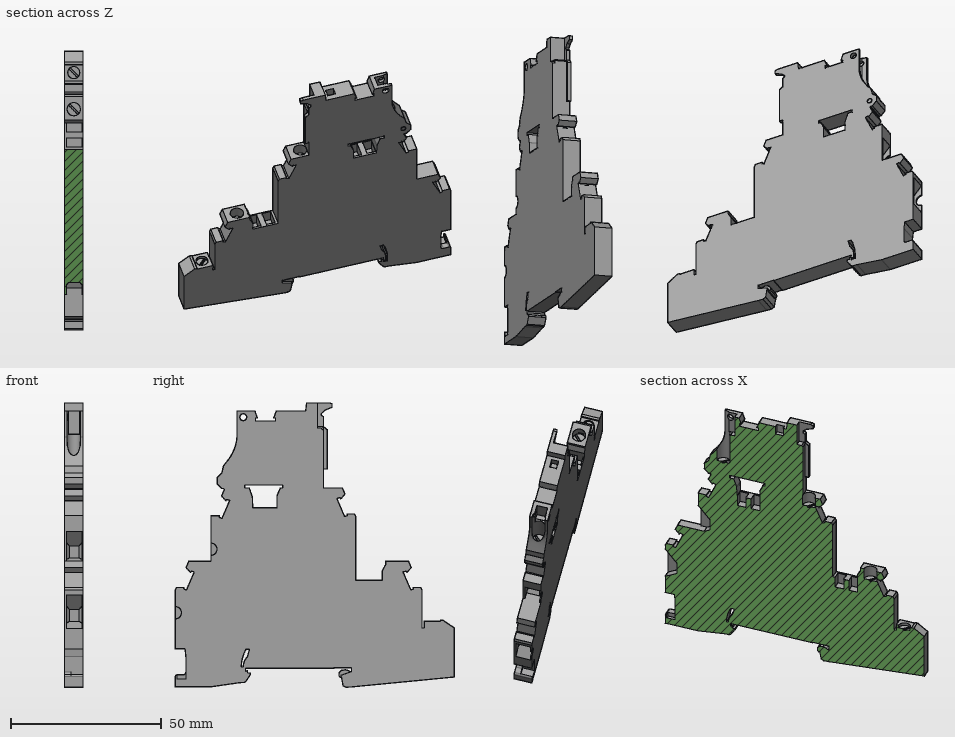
import cadquery as cq


THICKNESS = 6.15
LENGTH = 92.69
HEIGHT = 94.53
MID_X = THICKNESS / 2

FRONT_FOOT_Z = 0.15
RAIL_FACE_Z = 6.3
LIP_TOP_Z = 4.2
LOWER_TOP_Z = 41.9
UPPER_TOP_Z = 66.3
UPPER_FRONT_TOP_Z = UPPER_TOP_Z - 0.6
LOWER_VALLEY_Z = 35.65
UPPER_VALLEY_Z = 59.75
PLUG_SHELF_Z = 22.0

UPPER_FRONT_Y = 11.8
UPPER_REAR_Y = 60.0
LOWER_REAR_Y = 82.0
PLUG_GAP_Y = 82.7
FOOT_RECESS_Y = 3.5
UPPER_VALLEY_FRONT_Y = 25.8
UPPER_VALLEY_REAR_Y = 33.8
LOWER_TOWER_FRONT_Y = 68.75

SHOULDER_REACH = 3.57
SHOULDER_CORNER = 0.45
NOSE_SLOPE = 0.9
NOSE_DROP = 2.1
HOOK_DROP = 3.75
GROOVE_DEPTH = 2.7
GROOVE_BOTTOM = 9.5
SHELF_DROP = 8.65

OPENING_X0 = 0.7
OPENING_X1 = 5.75

SCREW_DEPTH = 4.0
SLOT_WIDTH = 0.6
SLOT_DEPTH = 0.5
TIER_SCREW_RADIUS = 2.2
PLUG_SCREW_RADIUS = 2.0
PLUG_SCREW_DEPTH = 1.0
PLUG_SCREW_Y = 85.55
LOWER_SCREW_Y = 73.4
UPPER_SCREW_Y = 51.4

FUNNEL_DEPTH = 4.2
WAIST_FRACTION = 0.78
THROAT_X0 = 1.6
THROAT_X1 = 4.85
THROAT_BOTTOM_Z = 21.9
THROAT_TOP_Z = 25.9
FUNNEL_BOTTOM_Z = 19.6
FUNNEL_TOP_Z = 30.65
WAIST_DEPTH = WAIST_FRACTION * FUNNEL_DEPTH
WAIST_BOTTOM_Z = FUNNEL_BOTTOM_Z + WAIST_FRACTION * (THROAT_BOTTOM_Z - FUNNEL_BOTTOM_Z)
WAIST_TOP_Z = FUNNEL_TOP_Z + WAIST_FRACTION * (THROAT_TOP_Z - FUNNEL_TOP_Z)
OPENING_SECTION = (0, OPENING_X0, OPENING_X1, FUNNEL_BOTTOM_Z, FUNNEL_TOP_Z)
WAIST_SECTION = (WAIST_DEPTH, OPENING_X0, OPENING_X1, WAIST_BOTTOM_Z, WAIST_TOP_Z)
THROAT_SECTION = (FUNNEL_DEPTH, THROAT_X0, THROAT_X1, THROAT_BOTTOM_Z, THROAT_TOP_Z)
ENTRY_PITCH_Z = 21.1
SIDE_NOTCH_RADIUS = 2.05
SIDE_NOTCH_Z = 24.8

LEVER_TOP_Z = 91.85
LEVER_FRONT_Y = 20.45
LEVER_REAR_Y = 49.3
LEVER_PLATE_REAR_Y = 50.5
PLATE_THICKNESS = 1.2
TAB_ROOT_Y = 47.2
TAB_FRONT_Y = 43.6
TAB_TIP_Y = 52.15
LEDGE_Z = 86.6
HINGE_Y = 16.5
HINGE_Z = 68.65
KNUCKLE_SIDES = 8
KNUCKLE_APOTHEM = 2.6
PIN_RADIUS = 0.85
PIN_RECESS = 0.2


def prism(points, x0=0.0, x1=THICKNESS):
    """Extrude a closed (Y, Z) outline between two X positions."""
    return cq.Workplane("YZ", origin=(x0, 0, 0)).polyline(points).close().extrude(x1 - x0)


def block(x0, x1, y0, y1, z0, z1):
    """Axis-aligned box given by its limits."""
    return cq.Workplane("XY").box(x1 - x0, y1 - y0, z1 - z0, centered=False).translate((x0, y0, z0))


def cross_bar(y, z, radius, x0=0.0, x1=THICKNESS):
    """Cylinder along X."""
    return cq.Workplane("YZ", origin=(x0, y, z)).circle(radius).extrude(x1 - x0)


def shoulder(wall_y, top_z, outward, corner=SHOULDER_CORNER):
    """Outline points of a marker shoulder, from the tier top out to the wall below it."""
    nose_y = wall_y - outward * SHOULDER_REACH
    profile = [
        (-NOSE_SLOPE, 0),
        (0, NOSE_DROP),
        (-1.45, HOOK_DROP),
        (-1.75, HOOK_DROP - 0.45),
        (-GROOVE_DEPTH, HOOK_DROP - 0.15),
        (-0.15, GROOVE_BOTTOM),
        (0.7, GROOVE_BOTTOM - 0.3),
        (0.6, SHELF_DROP),
    ]
    if corner:
        profile.append((SHOULDER_REACH - corner, SHELF_DROP))
        profile.append((SHOULDER_REACH, SHELF_DROP + 2 * corner))
    else:
        profile.append((SHOULDER_REACH, SHELF_DROP))
    return [(nose_y + outward * reach, top_z - drop) for reach, drop in profile]


def base_housing():
    """Stepped two-tier housing with its rail feet, over the full thickness."""
    rear_side = [
        (UPPER_VALLEY_REAR_Y, UPPER_VALLEY_Z),
        (UPPER_VALLEY_REAR_Y, UPPER_TOP_Z - 2.6),
        (UPPER_VALLEY_REAR_Y + 1.1, UPPER_TOP_Z),
        *shoulder(UPPER_REAR_Y, UPPER_TOP_Z, 1),
        (UPPER_REAR_Y, LOWER_VALLEY_Z),
        (LOWER_TOWER_FRONT_Y, LOWER_VALLEY_Z),
        (LOWER_TOWER_FRONT_Y, LOWER_TOP_Z - 3.2),
        (LOWER_TOWER_FRONT_Y + 1.1, LOWER_TOP_Z - 1.1),
        (LOWER_TOWER_FRONT_Y + 1.1, LOWER_TOP_Z),
        *shoulder(LOWER_REAR_Y, LOWER_TOP_Z, 1),
        (LOWER_REAR_Y, PLUG_SHELF_Z - 2.2),
        (PLUG_GAP_Y, PLUG_SHELF_Z - 2.2),
        (PLUG_GAP_Y, PLUG_SHELF_Z),
        (88.0, PLUG_SHELF_Z),
        (88.2, PLUG_SHELF_Z + 0.3),
        (89.0, PLUG_SHELF_Z + 0.3),
        (LENGTH, PLUG_SHELF_Z - 2.2),
    ]
    rear_foot = [
        (LENGTH, 3.4),
        (58.5, 0.1),
        (56.7, 0),
        (55.7, 0.5),
        (55.2, 3.4),
        (55.0, 4.0),
        (58.5, 5.2),
        (58.5, RAIL_FACE_Z + 0.2),
        (52.7, RAIL_FACE_Z + 0.2),
        (52.7, RAIL_FACE_Z),
    ]
    front_foot = [
        (23.4, RAIL_FACE_Z),
        (23.4, 5.4),
        (24.0, 5.6),
        (24.1, 4.8),
        (25.0, 4.8),
        (25.0, 4.2),
        (23.4, 1.85),
        (22.9, 1.6),
        (21.2, 1.5),
        (11.9, FRONT_FOOT_Z),
        (0, FRONT_FOOT_Z),
        (0, LIP_TOP_Z),
        (FOOT_RECESS_Y, LIP_TOP_Z),
        (FOOT_RECESS_Y, 10.2),
        (3.2, 12.8),
        (0, 12.8),
    ]
    front_side = [
        *reversed(shoulder(0, LOWER_TOP_Z, -1)),
        (UPPER_FRONT_Y, LOWER_TOP_Z),
        *reversed(shoulder(UPPER_FRONT_Y, UPPER_FRONT_TOP_Z, -1, corner=0)),
        (16.0, UPPER_TOP_Z),
        (UPPER_VALLEY_FRONT_Y - 1.2, UPPER_TOP_Z),
        (UPPER_VALLEY_FRONT_Y - 0.15, UPPER_TOP_Z - 3.0),
        (UPPER_VALLEY_FRONT_Y, UPPER_VALLEY_Z),
    ]
    housing = prism(rear_side + rear_foot + front_foot + front_side)
    for corner_y, radius in ((0, 0.65), (FOOT_RECESS_Y, 0.9)):
        corner = (MID_X, corner_y, LIP_TOP_Z)
        housing = housing.edges(cq.selectors.NearestToPointSelector(corner)).fillet(radius)
    return housing


def rail_clip():
    """Curved spring tongue of the rear foot, set in from both sides."""
    inset = 0.8
    return (
        cq.Workplane("YZ", origin=(inset, 0, 0))
        .moveTo(58.5, 5.0)
        .lineTo(57.7, 5.5)
        .lineTo(56.6, 5.9)
        .lineTo(55.3, 5.7)
        .threePointArc((54.55, 5.0), (54.4, 3.7))
        .lineTo(54.9, 3.3)
        .lineTo(55.5, 3.3)
        .lineTo(55.5, 4.0)
        .close()
        .extrude(THICKNESS - 2 * inset)
    )


def front_foot_slit():
    """Curved slit that makes the front foot springy, with a shallow angled recess below it."""
    slit = (
        cq.Workplane("YZ")
        .moveTo(24.6, 12.6)
        .lineTo(23.5, 12.6)
        .threePointArc((22.5, 10.2), (21.95, 6.8))
        .lineTo(22.55, 6.8)
        .threePointArc((23.1, 9.0), (23.95, 10.2))
        .close()
        .extrude(THICKNESS)
    )
    recess_depth = 0.5
    recess_front_y = 21.95
    recess_bottom_z = 4.4
    upright = block(0, recess_depth, recess_front_y, 22.55, recess_bottom_z, 6.8)
    foot = block(0, recess_depth, recess_front_y, 23.4, recess_bottom_z, 5.0)
    return slit.union(upright).union(foot)


def front_recess_step():
    """Deeper floor behind the lip of the front foot, beside its rounded corner."""
    rounded_width = 2.1
    lip_thickness = 0.65
    step_z = LIP_TOP_Z - 1.5
    rounded_top_z = LIP_TOP_Z + 1.0
    return block(rounded_width, THICKNESS, lip_thickness, FOOT_RECESS_Y, step_z, rounded_top_z)


def tapered_pocket(wall_y, lift, outer, inner):
    """Loft between two rectangular sections given as (depth, x0, x1, z0, z1)."""
    depth, x0, x1, z0, z1 = outer
    inner_depth, inner_x0, inner_x1, inner_z0, inner_z1 = inner
    shift_x = (inner_x0 + inner_x1 - x0 - x1) / 2
    shift_z = (inner_z0 + inner_z1 - z0 - z1) / 2
    return (
        cq.Workplane("XZ", origin=((x0 + x1) / 2, wall_y + depth, (z0 + z1) / 2 + lift))
        .rect(x1 - x0, z1 - z0)
        .workplane(offset=depth - inner_depth)
        .center(shift_x, shift_z)
        .rect(inner_x1 - inner_x0, inner_z1 - inner_z0)
        .loft(ruled=True)
    )


def wire_entry(wall_y, lift, floor_z):
    """Tapered wire funnel in a front wall, with a round notch through the +X side."""
    funnel = tapered_pocket(wall_y, lift, OPENING_SECTION, WAIST_SECTION).union(
        tapered_pocket(wall_y, lift, WAIST_SECTION, THROAT_SECTION)
    )
    above_floor = block(0, THICKNESS, wall_y, wall_y + FUNNEL_DEPTH, floor_z, HEIGHT)
    notch = cross_bar(wall_y, SIDE_NOTCH_Z + lift, SIDE_NOTCH_RADIUS, THROAT_X1)
    return funnel.intersect(above_floor).union(notch)


def screw_bore(y, top_z, radius, depth=SCREW_DEPTH):
    """Round bore down to a screw head, with the diagonal driver slot cut into the head."""
    head_z = top_z - depth
    bore = cq.Workplane("XY", origin=(MID_X, y, head_z)).circle(radius).extrude(depth)
    slot = (
        cq.Workplane("XY", origin=(MID_X, y, head_z - SLOT_DEPTH))
        .transformed(rotate=(0, 0, -45))
        .rect(2 * radius, SLOT_WIDTH)
        .extrude(SLOT_DEPTH)
    )
    return bore.union(slot)


def valley_pockets(rear_wall_y, floor_z):
    """Two rectangular test pockets in the floor of a valley."""
    pocket_length = 3.0
    pocket_pitch = 4.9
    pocket_depth = 4.0
    cutter = cq.Workplane("XY")
    for index in range(2):
        rear_y = rear_wall_y - index * pocket_pitch
        front_y = rear_y - pocket_length
        pocket = block(OPENING_X0, OPENING_X1, front_y, rear_y, floor_z - pocket_depth, floor_z)
        cutter = cutter.union(pocket)
    return cutter


def lever_body():
    """Fuse lever outline over the full thickness, including the octagonal hinge knuckle."""
    lip_z = LEVER_TOP_Z - 2.4
    notch_z = LEVER_TOP_Z - 3.3
    window_z = UPPER_TOP_Z + 0.9
    body = (
        cq.Workplane("YZ")
        .moveTo(LEVER_FRONT_Y, LEVER_TOP_Z)
        .lineTo(26.5, LEVER_TOP_Z)
        .lineTo(27.3, lip_z)
        .lineTo(26.7, lip_z)
        .lineTo(26.7, notch_z)
        .lineTo(33.3, notch_z)
        .lineTo(33.3, lip_z)
        .lineTo(32.65, lip_z)
        .lineTo(33.55, LEVER_TOP_Z)
        .lineTo(TAB_FRONT_Y - 0.3, LEVER_TOP_Z)
        .lineTo(TAB_FRONT_Y, HEIGHT)
        .lineTo(TAB_TIP_Y - 0.9, HEIGHT)
        .lineTo(TAB_TIP_Y, HEIGHT - 0.3)
        .lineTo(TAB_TIP_Y, 93.0)
        .lineTo(49.8, 92.1)
        .lineTo(48.5, 90.9)
        .lineTo(48.6, 90.4)
        .lineTo(LEVER_REAR_Y, 89.9)
        .lineTo(LEVER_REAR_Y, LEDGE_Z)
        .lineTo(LEVER_PLATE_REAR_Y, 85.6)
        .lineTo(LEVER_PLATE_REAR_Y, 72.5)
        .lineTo(LEVER_REAR_Y, 72.5)
        .lineTo(LEVER_REAR_Y, UPPER_TOP_Z)
        .lineTo(35.7, UPPER_TOP_Z)
        .lineTo(35.7, window_z)
        .lineTo(23.1, window_z)
        .lineTo(23.1, UPPER_TOP_Z)
        .lineTo(HINGE_Y, UPPER_TOP_Z)
        .lineTo(HINGE_Y, HINGE_Z)
        .lineTo(15.4, 71.0)
        .lineTo(16.0, 73.6)
        .spline([(18.1, 76.3), (19.6, 79.2), (LEVER_FRONT_Y, 83.1)], includeCurrent=True)
        .close()
        .extrude(THICKNESS)
    )
    knuckle = (
        cq.Workplane("YZ", origin=(0, HINGE_Y, HINGE_Z))
        .polygon(KNUCKLE_SIDES, 2 * KNUCKLE_APOTHEM, circumscribed=True)
        .extrude(THICKNESS)
    )
    return body.union(knuckle)


def lever_rear_relief():
    """Space behind the lever that leaves only a thin plate and tab on the -X side."""
    corner_x = 5.15
    corner_drop = 0.45
    chamfer = 0.45
    corner_z = LEDGE_Z - corner_drop
    behind = block(PLATE_THICKNESS, THICKNESS, LEVER_REAR_Y, TAB_TIP_Y, UPPER_TOP_Z, HEIGHT)
    above_ledge = block(PLATE_THICKNESS, THICKNESS, TAB_ROOT_Y, TAB_TIP_Y, LEDGE_Z, HEIGHT)
    relief = behind.union(above_ledge)
    relief = relief.union(block(corner_x, THICKNESS, TAB_ROOT_Y, LEVER_REAR_Y, corner_z, LEDGE_Z))
    for start_x, ledge_z, size in (
        (PLATE_THICKNESS, LEDGE_Z, chamfer),
        (corner_x, corner_z, 2 * chamfer),
    ):
        bevel = [
            (LEVER_REAR_Y, ledge_z),
            (LEVER_REAR_Y - size, ledge_z),
            (LEVER_REAR_Y, ledge_z - size),
        ]
        relief = relief.union(prism(bevel, start_x))
    return relief


def lever_openings():
    """Screwdriver groove, test socket, pin hole and hinge pin recess of the lever."""
    groove_screw_y = 20.8
    groove_radius = 2.23
    groove_depth = 19.5
    groove = screw_bore(groove_screw_y, LEVER_TOP_Z, groove_radius, groove_depth)
    back_x0 = 1.35
    back_x1 = 5.0
    back_y = 24.95
    shelf_z = 84.1
    shelf_edge_y = 23.45
    shelf_step = 0.15
    groove_back = block(back_x0, back_x1, LEVER_FRONT_Y, back_y, shelf_z, LEVER_TOP_Z).union(
        block(back_x0, back_x1, LEVER_FRONT_Y, shelf_edge_y, shelf_z - shelf_step, shelf_z)
    )
    socket_depth = 3.0
    socket = block(1.9, 4.25, 39.5, 42.2, LEVER_TOP_Z - socket_depth, LEVER_TOP_Z)
    pin_hole_radius = 1.1
    pin_hole = cross_bar(22.6, 89.75, pin_hole_radius)
    hinge_pin = cross_bar(HINGE_Y, HINGE_Z, PIN_RADIUS, 0, PIN_RECESS)
    return [groove, groove_back, socket, pin_hole, hinge_pin]


base = base_housing().union(rail_clip())
base_cuts = [
    front_foot_slit(),
    front_recess_step(),
    wire_entry(0, 0, 0),
    wire_entry(UPPER_FRONT_Y, ENTRY_PITCH_Z, LOWER_TOP_Z),
    screw_bore(PLUG_SCREW_Y, PLUG_SHELF_Z, PLUG_SCREW_RADIUS, PLUG_SCREW_DEPTH),
    screw_bore(LOWER_SCREW_Y, LOWER_TOP_Z, TIER_SCREW_RADIUS),
    screw_bore(UPPER_SCREW_Y, UPPER_TOP_Z, TIER_SCREW_RADIUS),
    valley_pockets(LOWER_TOWER_FRONT_Y, LOWER_VALLEY_Z),
    valley_pockets(UPPER_VALLEY_REAR_Y, UPPER_VALLEY_Z),
]
for cutter in base_cuts:
    base = base.cut(cutter)

lever = lever_body().cut(lever_rear_relief())
for cutter in lever_openings():
    lever = lever.cut(cutter)

result = base.union(lever)